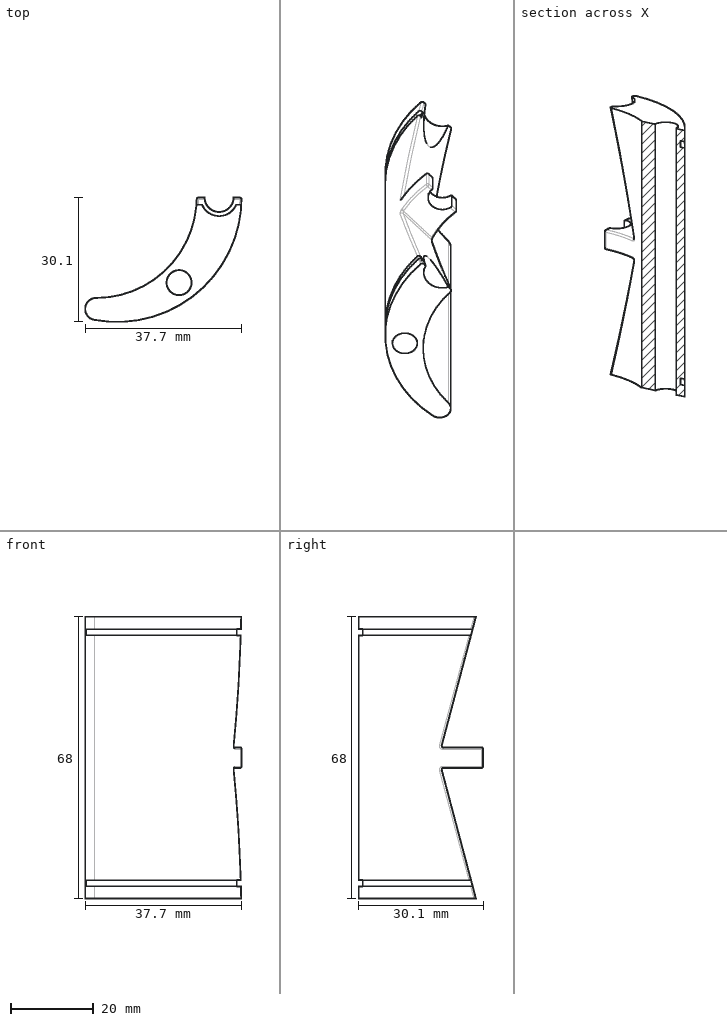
import cadquery as cq
import math

height = 68.0
outer_radius = 30.05
inner_radius = 24.2
inner_offset = 5.0
hole_radius = 3.0
hole_x = 14.95
hole_y = -20.55
tab_height = 5.0
relief_end_y = -1.7
relief_root_y = -10.05
edge_radius = 0.5
root_radius = 0.35
side_distance = 2.05
tab_channel_radius = 3.5
end_channel_radius = 4.5
groove_depth = 1.0
groove_width = 1.5
groove_end_distance = 3.0

tip_reach = inner_offset**2 + inner_radius**2
tip_radius = (outer_radius**2 - tip_reach) / (2 * (outer_radius + inner_radius))
tip_y = -(inner_radius + tip_radius)
tip_angle = math.atan2(tip_y, -inner_offset)
inner_right_x = inner_radius - inner_offset
channel_x = (inner_right_x + outer_radius) / 2


def on_circle(radius, angle, center_x=0.0):
    return (center_x + radius * math.cos(angle), radius * math.sin(angle))


def make_blade():
    """Crescent section with one rounded tip, extruded over the full height."""
    return (
        cq.Workplane("XY")
        .workplane(offset=-height / 2)
        .moveTo(outer_radius, 0)
        .threePointArc(on_circle(outer_radius, tip_angle / 2), on_circle(outer_radius, tip_angle))
        .threePointArc((-inner_offset - tip_radius, tip_y), (-inner_offset, -inner_radius))
        .threePointArc(on_circle(inner_radius, -math.pi / 4, -inner_offset), (inner_right_x, 0))
        .close()
        .extrude(height)
    )


def make_relief(side):
    """Wedge removed above (side = 1) or below (side = -1) the central tab."""
    return (
        cq.Workplane("YZ")
        .moveTo(0, side * tab_height / 2)
        .lineTo(relief_root_y, side * tab_height / 2)
        .lineTo(relief_end_y, side * height / 2)
        .lineTo(0, side * height / 2)
        .close()
        .extrude(outer_radius)
    )


def is_relief_side_edge(edge):
    """Edges of the curved sides along the relief faces and around the tab."""
    middle = edge.Center()
    beside_relief = middle.y > relief_root_y - root_radius and abs(middle.z) < height / 2
    return beside_relief and abs(middle.x - channel_x) > side_distance


def make_channel(radius, bottom, top):
    return (
        cq.Workplane("XY")
        .workplane(offset=bottom)
        .center(channel_x, 0)
        .circle(radius)
        .extrude(top - bottom)
    )


def make_groove(bottom):
    """Ring that leaves a groove of constant depth in the outer arc."""
    return (
        cq.Workplane("XY")
        .workplane(offset=bottom)
        .circle(outer_radius + groove_depth)
        .circle(outer_radius - groove_depth)
        .extrude(groove_width)
    )


body = make_blade()
for side in (1, -1):
    body = body.cut(make_relief(side))

root_corners = cq.selectors.BoxSelector(
    (0, relief_root_y - root_radius, -tab_height),
    (outer_radius, relief_root_y + root_radius, tab_height),
)
body = body.edges("|X").edges(root_corners).fillet(root_radius)

side_edges = [edge for edge in body.edges().vals() if is_relief_side_edge(edge)]
tip_edges = body.faces(">Y").edges("|X").vals()
body = body.newObject(side_edges + tip_edges).fillet(edge_radius)

body = body.cut(make_channel(tab_channel_radius, -tab_height / 2, tab_height / 2))
body = body.cut(make_channel(end_channel_radius, tab_height / 2, height / 2))
body = body.cut(make_channel(end_channel_radius, -height / 2, -tab_height / 2))

groove_top = height / 2 - groove_end_distance
for groove_bottom in (groove_top - groove_width, -groove_top):
    body = body.cut(make_groove(groove_bottom))

hole = cq.Workplane("XY").workplane(offset=-height / 2).center(hole_x, hole_y).circle(hole_radius)
result = body.cut(hole.extrude(height))